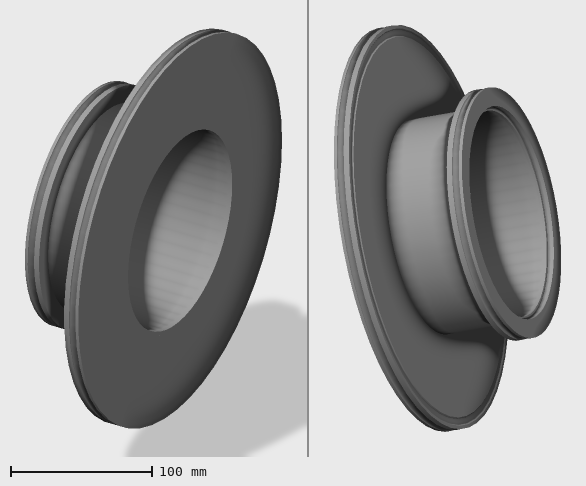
import cadquery as cq

length = 75.0
flange_thickness = 11.5
large_diameter = 290.0
small_diameter = 180.0

tube_outer_diameter = 154.3
tube_bore_diameter = 148.2

mouth_diameter = 153.0
mouth_depth = 4.4
tube_end_depth = 6.5

rim_groove_radius = 2.5
rim_lip_width = 2.3

face_groove_inner_diameter = 273.2
face_groove_outer_diameter = 285.0
face_groove_depth = 1.0
face_groove_side_width = 1.0

small_face_x = -length / 2
large_face_x = length / 2
tube_start_x = small_face_x + tube_end_depth
large_inner_x = large_face_x - flange_thickness
rim_groove_offset = rim_lip_width + rim_groove_radius


def cylinder(diameter, start_x, depth):
    """Cylinder on the X axis, running from start_x toward +X."""
    return cq.Workplane("YZ", origin=(start_x, 0, 0)).circle(diameter / 2).extrude(depth)


def rim_groove(rim_diameter, centre_x):
    """Ring of round section that cuts a half-round groove into a rim."""
    return cq.Workplane("XY").add(
        cq.Solid.makeTorus(
            rim_diameter / 2, rim_groove_radius, cq.Vector(centre_x, 0, 0), cq.Vector(1, 0, 0)
        )
    )


def face_groove():
    """Ring of trapezoid section that cuts the face groove."""
    inner_radius = face_groove_inner_diameter / 2
    outer_radius = face_groove_outer_diameter / 2
    floor_x = large_inner_x + face_groove_depth
    section = [
        (large_inner_x, inner_radius),
        (floor_x, inner_radius + face_groove_side_width),
        (floor_x, outer_radius - face_groove_side_width),
        (large_inner_x, outer_radius),
    ]
    return cq.Workplane("XY").polyline(section).close().revolve(360, (0, 0, 0), (1, 0, 0))


def make_small_flange():
    """Flange with a stepped mouth and a socket that holds the tube end."""
    flange = cylinder(small_diameter, small_face_x, flange_thickness)
    flange = flange.cut(cylinder(tube_bore_diameter, small_face_x, flange_thickness))
    flange = flange.cut(cylinder(mouth_diameter, small_face_x, mouth_depth))
    socket_depth = flange_thickness - tube_end_depth
    flange = flange.cut(cylinder(tube_outer_diameter, tube_start_x, socket_depth))
    return flange.cut(rim_groove(small_diameter, small_face_x + rim_groove_offset))


def make_tube():
    """Plain tube from the small flange socket to the outer face of the large flange."""
    tube_length = large_face_x - tube_start_x
    tube = cylinder(tube_outer_diameter, tube_start_x, tube_length)
    return tube.cut(cylinder(tube_bore_diameter, tube_start_x, tube_length))


def make_large_flange():
    """Flange fitted around the tube, with a rim groove and a face groove."""
    flange = cylinder(large_diameter, large_inner_x, flange_thickness)
    flange = flange.cut(cylinder(tube_outer_diameter, large_inner_x, flange_thickness))
    flange = flange.cut(face_groove())
    return flange.cut(rim_groove(large_diameter, large_face_x - rim_groove_offset))


small_flange = make_small_flange()
tube = make_tube()
large_flange = make_large_flange()

result = cq.Compound.makeCompound([small_flange.val(), tube.val(), large_flange.val()])